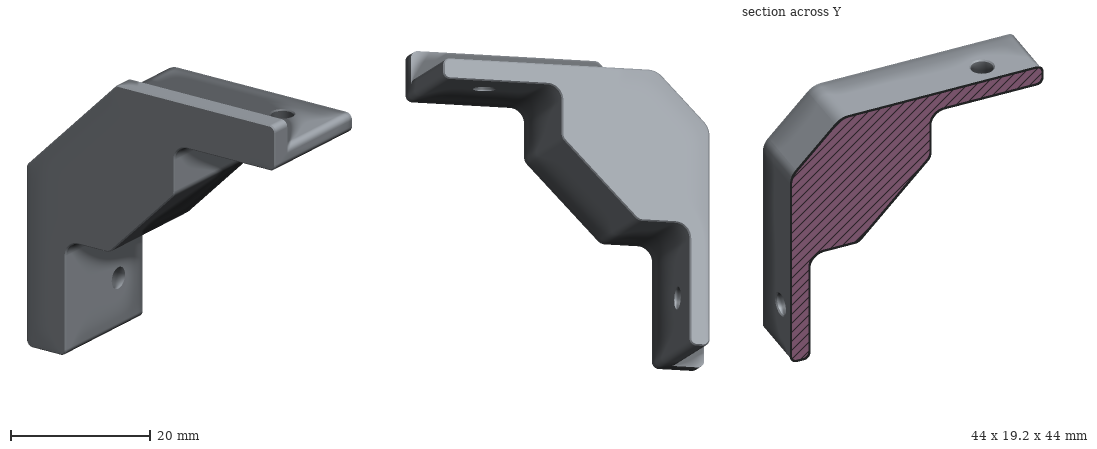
import cadquery as cq

leg_length = 44.0
total_depth = 19.2
flange_thickness = 3.0
flange_lip = 4.0

leg_width = 7.0
corner_cut = 16.0
gusset_reach = 26.2
gusset_cut = 11.5

end_radius = 1.0
body_corner_radius = 3.0
inner_radius = 2.2
gusset_radius = 1.5
edge_chamfer = 0.2
pick_margin = 0.05

hole_diameter = 3.3
hole_chamfer = 0.2
hole_from_corner = 36.0
hole_from_back = 6.2


def mirrored(x, drop):
    """Profile point at x and drop below the top, with its twin across the 45 degree symmetry line."""
    return [(x, -drop), (drop, -x)]


def round_corners(solid, corners, radius):
    """Fillet the edges along Y that pass through the given (x, z) corners."""
    for x, z in corners:
        box = cq.selectors.BoxSelector(
            (x - pick_margin, -pick_margin, z - pick_margin),
            (x + pick_margin, total_depth + pick_margin, z + pick_margin),
        )
        solid = solid.edges("|Y").edges(box).fillet(radius)
    return solid


def angle_block(outer_inset, corner_radius, y_start, y_end):
    """L-shaped block whose outer faces are set in from the corner by outer_inset."""
    outer_start = mirrored(corner_cut - outer_inset, outer_inset)
    outer_end = mirrored(leg_length, outer_inset)
    inner_end = mirrored(leg_length, leg_width)
    inner_root = mirrored(gusset_reach, leg_width)
    gusset_tip = mirrored(gusset_reach, gusset_reach - gusset_cut)
    upper_half, lower_half = zip(outer_start, outer_end, inner_end, inner_root, gusset_tip)
    block = (
        cq.Workplane("XZ", origin=(0, y_start, 0))
        .polyline(upper_half + lower_half[::-1])
        .close()
        .extrude(y_start - y_end)
    )
    block = round_corners(block, outer_start, corner_radius)
    block = round_corners(block, outer_end + inner_end, end_radius)
    block = round_corners(block, inner_root, inner_radius)
    return round_corners(block, gusset_tip, gusset_radius)


def screw_hole(mouth_center, inward):
    """Cutter for a through hole in a leg, with a chamfered mouth on the outer face."""
    radius = hole_diameter / 2
    drill = cq.Solid.makeCylinder(radius, leg_width - flange_lip, mouth_center, inward)
    mouth = cq.Solid.makeCone(radius + hole_chamfer, radius, hole_chamfer, mouth_center, inward)
    return drill.fuse(mouth)


plate = angle_block(0, end_radius, 0, flange_thickness).faces("<Y").chamfer(edge_chamfer)
body = angle_block(flange_lip, body_corner_radius, flange_thickness, total_depth)
body = body.faces(">Y").chamfer(edge_chamfer)

hole_y = total_depth - hole_from_back
top_hole = screw_hole(cq.Vector(hole_from_corner, hole_y, -flange_lip), cq.Vector(0, 0, -1))
side_hole = screw_hole(cq.Vector(flange_lip, hole_y, -hole_from_corner), cq.Vector(1, 0, 0))

result = plate.union(body).cut(cq.Workplane(top_hole)).cut(cq.Workplane(side_hole))